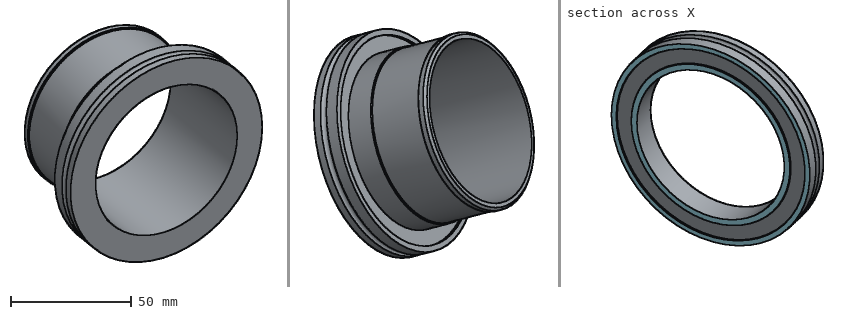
import cadquery as cq

total_length = 51.0
flange_radius = 47.5
flange_width = 12.1
bore_radius = 35.1

band_radius = 38.0
body_radius = 37.5
end_chamfer = 1.1
end_band_length = 3.6
inner_band_start = 28.0
band_taper = band_radius - body_radius

groove_radius = 1.5
groove_width = 2 * groove_radius
groove_to_back = 5.0

recess_radius = 44.9
recess_depth = 1.2

flange_start = total_length - flange_width


def make_sleeve():
    """Revolve the bored sleeve with its two tapered bands."""
    profile = (
        cq.Workplane("XY")
        .moveTo(0, bore_radius)
        .lineTo(0, band_radius - end_chamfer)
        .lineTo(end_chamfer, band_radius)
        .lineTo(end_band_length, band_radius)
        .lineTo(end_band_length + band_taper, body_radius)
        .lineTo(inner_band_start, body_radius)
        .lineTo(inner_band_start + band_taper, band_radius)
        .lineTo(total_length, band_radius)
        .lineTo(total_length, bore_radius)
        .close()
    )
    return profile.revolve(360, (0, 0, 0), (1, 0, 0))


def make_flange():
    """Revolve the flange with its recessed front face and rim groove."""
    groove_center = total_length - groove_to_back
    profile = (
        cq.Workplane("XY")
        .moveTo(flange_start + recess_depth, bore_radius)
        .lineTo(flange_start + recess_depth, recess_radius)
        .lineTo(flange_start, recess_radius)
        .lineTo(flange_start, flange_radius)
        .lineTo(groove_center - groove_width / 2, flange_radius)
        .threePointArc(
            (groove_center, flange_radius - groove_radius),
            (groove_center + groove_width / 2, flange_radius),
        )
        .lineTo(total_length, flange_radius)
        .lineTo(total_length, bore_radius)
        .close()
    )
    return profile.revolve(360, (0, 0, 0), (1, 0, 0))


result = make_sleeve().union(make_flange())